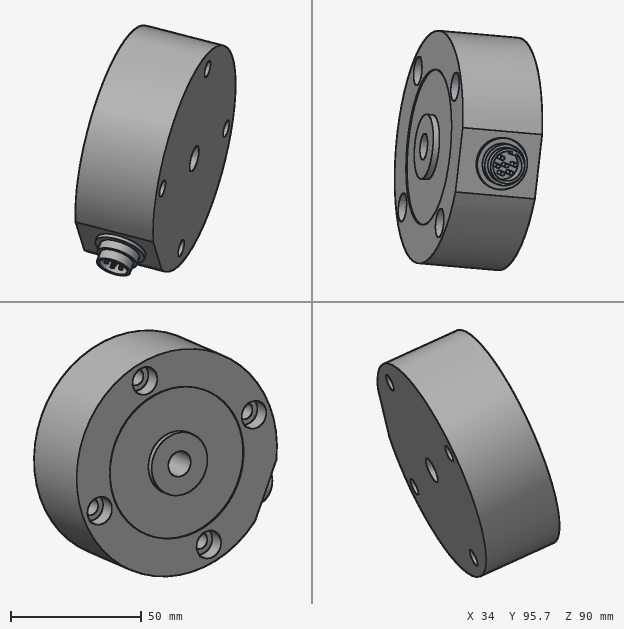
import cadquery as cq
import math

housing_diameter = 90.0
housing_width = 32.0
boss_diameter = 25.0
boss_height = 2.0
center_bore_diameter = 10.1
recess_diameter = 60.0
recess_depth = 0.5

mount_hole_count = 4
mount_circle_radius = 37.5
mount_hole_diameter = 6.6
counterbore_diameter = 11.0
counterbore_depth = 6.7

tilt_angle = 22.5
flat_distance = 43.2

connector_x = 17.0
flange_diameter = 20.0
flange_length = 1.5
collar_diameter = 16.0
collar_length = 3.5
sleeve_diameter = 13.6
sleeve_length = 3.9
socket_diameter = 11.5
socket_depth = 6.0
key_radius = 1.0
key_angle = 67.5

pin_diameter = 1.5
pin_length = 5.0
pin_circle_radius = 3.45
ring_pin_count = 5
pin_pitch_angle = 61.0

connector_length = flange_length + collar_length + sleeve_length


def polar(radius, angle):
    """Point at a radius and an angle in degrees."""
    return (radius * math.cos(math.radians(angle)), radius * math.sin(math.radians(angle)))


def cylinder_x(diameter, start, length, center=(0, 0)):
    """Cylinder along +X from X = start, centered on a (Y, Z) point."""
    return cq.Workplane("YZ", origin=(start, 0, 0)).center(*center).circle(diameter / 2).extrude(length)


def connector_plane(distance):
    """Plane square to the connector axis, at a distance from the housing axis."""
    y, z = polar(-distance, tilt_angle)
    normal_y, normal_z = polar(-1, tilt_angle)
    return cq.Plane(origin=(connector_x, y, z), xDir=(1, 0, 0), normal=(0, normal_y, normal_z))


def connector_cylinder(diameter, distance, length, centers=((0, 0),)):
    """Cylinders along the connector axis, starting at a distance from the housing axis."""
    plane = connector_plane(distance)
    return cq.Workplane(plane).pushPoints(centers).circle(diameter / 2).extrude(length)


def make_housing():
    body = cylinder_x(housing_diameter, 0, housing_width)
    body = body.cut(cylinder_x(recess_diameter, 0, recess_depth))
    body = body.union(cylinder_x(boss_diameter, -boss_height, boss_height + recess_depth))
    body = body.cut(cylinder_x(center_bore_diameter, -boss_height, boss_height + housing_width))

    cutoff = cq.Workplane(connector_plane(flat_distance)).rect(2 * housing_diameter, 2 * housing_diameter)
    body = body.cut(cutoff.extrude(housing_diameter))

    for index in range(mount_hole_count):
        center = polar(mount_circle_radius, -tilt_angle + index * 360 / mount_hole_count)
        body = body.cut(cylinder_x(mount_hole_diameter, 0, housing_width, center))
        body = body.cut(cylinder_x(counterbore_diameter, 0, counterbore_depth, center))
    return body


def make_connector():
    floor_distance = flat_distance + connector_length - socket_depth

    collar_distance = flat_distance + flange_length
    sleeve_distance = collar_distance + collar_length
    shell = connector_cylinder(flange_diameter, flat_distance, flange_length)
    shell = shell.union(connector_cylinder(collar_diameter, collar_distance, collar_length))
    shell = shell.union(connector_cylinder(sleeve_diameter, sleeve_distance, sleeve_length))

    key_center = polar(socket_diameter / 2, key_angle)
    socket = connector_cylinder(socket_diameter, floor_distance, socket_depth)
    key = connector_cylinder(2 * key_radius, floor_distance, socket_depth, [key_center])
    shell = shell.cut(socket.cut(key))

    pin_centers = [(0, 0)]
    for index in range(ring_pin_count):
        offset = (index - (ring_pin_count - 1) / 2) * pin_pitch_angle
        pin_centers.append(polar(pin_circle_radius, key_angle + 180 + offset))
    pins = connector_cylinder(pin_diameter, floor_distance, pin_length, pin_centers)
    return shell.union(pins)


housing = make_housing()
connector = make_connector()
result = cq.Compound.makeCompound([housing.val(), connector.val()])